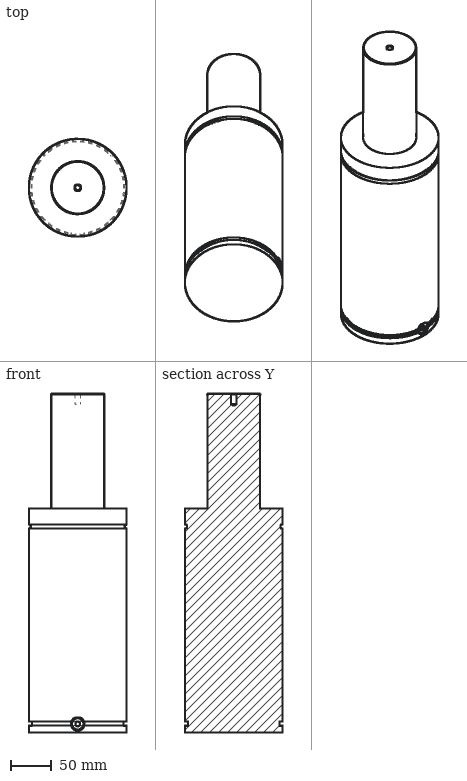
import cadquery as cq

total_height = 415.0
body_diameter = 120.0
body_radius = body_diameter / 2
body_height = 274.7

rod_diameter = 65.0
rod_rim_chamfer = 1.0
rod_hole_diameter = 6.5
rod_hole_mouth_diameter = 8.5
rod_hole_depth = 12.5
drill_tip_height = 2.0

collar_groove_radius = 2.5
collar_groove_z = 252.5

foot_groove_bottom = 8.7
foot_groove_height = 5.0
foot_groove_depth = 3.7

port_z = 10.8
plug_diameter = 16.0
plug_face_diameter = 14.0
plug_bevel = (plug_diameter - plug_face_diameter) / 2
port_face_y = -59.5
plug_length = 8.5
port_socket_diameter = 6.0
port_socket_depth = 2.5


def make_cylinder_body():
    """Main cylinder with the two turned grooves."""
    body = cq.Workplane("XY").circle(body_radius).extrude(body_height)
    collar_groove = (
        cq.Workplane("XZ")
        .center(body_radius, collar_groove_z)
        .circle(collar_groove_radius)
        .revolve(360, (-body_radius, 0), (-body_radius, 1))
    )
    foot_groove = (
        cq.Workplane("XY", origin=(0, 0, foot_groove_bottom))
        .circle(body_radius)
        .circle(body_radius - foot_groove_depth)
        .extrude(foot_groove_height)
    )
    return body.cut(collar_groove).cut(foot_groove)


def make_rod():
    """Piston rod with a chamfered rim and a countersunk blind hole."""
    rod = (
        cq.Workplane("XY", origin=(0, 0, body_height))
        .circle(rod_diameter / 2)
        .extrude(total_height - body_height)
        .faces(">Z")
        .chamfer(rod_rim_chamfer)
    )
    hole_radius = rod_hole_diameter / 2
    mouth_radius = rod_hole_mouth_diameter / 2
    hole_bottom = total_height - rod_hole_depth
    hole = (
        cq.Workplane("XZ")
        .moveTo(0, total_height)
        .lineTo(mouth_radius, total_height)
        .lineTo(hole_radius, total_height - (mouth_radius - hole_radius))
        .lineTo(hole_radius, hole_bottom)
        .lineTo(0, hole_bottom - drill_tip_height)
        .close()
        .revolve(360, (0, 0), (0, 1))
    )
    return rod.cut(hole)


def port_cylinder(diameter, front_y, length):
    """Cylinder along the port axis, running inward from front_y."""
    return (
        cq.Workplane("XZ", origin=(0, front_y, port_z))
        .circle(diameter / 2)
        .extrude(-length)
    )


def add_port(part):
    """Bevelled plug that bridges the foot groove, with a central socket."""
    seat_depth = port_face_y + body_radius + plug_bevel
    seat = port_cylinder(plug_diameter, -body_radius, seat_depth)
    plug = port_cylinder(plug_diameter, port_face_y, plug_length).faces("<Y").chamfer(plug_bevel)
    socket = port_cylinder(port_socket_diameter, port_face_y, port_socket_depth)
    return part.cut(seat).union(plug).cut(socket)


result = add_port(make_cylinder_body().union(make_rod()))